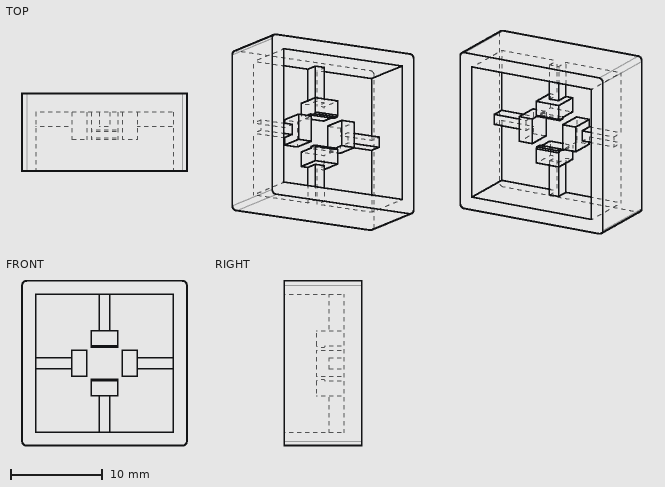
import cadquery as cq

side = 18.0
depth = 8.5
wall = 1.5
floor_thickness = 2.0
corner_radius = 0.5

post_width = 2.85
post_thickness = 1.62
post_height = 3.0
post_inner_offset = 1.93
rib_width = 1.15
rib_height = 1.6

ridge_height = 0.16
ridge_length = 1.0
ridge_slope_run = 0.16

cavity_side = side - 2 * wall
floor_y = depth - floor_thickness
post_tip_y = floor_y - post_height
post_outer_offset = post_inner_offset + post_thickness


def make_shell():
    body = cq.Workplane("XY").box(side, depth, side, centered=(True, False, True))
    body = body.edges("|Y").fillet(corner_radius)
    cavity = cq.Workplane("XY").box(cavity_side, floor_y, cavity_side, centered=(True, False, True))
    return body.cut(cavity)


def make_upper_post():
    """Post on the +Z side of the centre."""
    return (
        cq.Workplane("XY")
        .box(post_width, post_height, post_thickness, centered=(True, False, False))
        .translate((0, post_tip_y, post_inner_offset))
    )


def make_upper_rib():
    """Rib from the upper post to the cavity wall."""
    rib_length = cavity_side / 2 - post_outer_offset
    return (
        cq.Workplane("XY")
        .box(rib_width, rib_height, rib_length, centered=(True, False, False))
        .translate((0, floor_y - rib_height, post_outer_offset))
    )


def make_upper_ridge():
    """Trapezoidal ridge across the inner face of the upper post, starting at its tip."""
    crest_z = post_inner_offset - ridge_height
    end_y = post_tip_y + ridge_length
    return (
        cq.Workplane("YZ")
        .moveTo(post_tip_y, post_inner_offset)
        .lineTo(post_tip_y + ridge_slope_run, crest_z)
        .lineTo(end_y - ridge_slope_run, crest_z)
        .lineTo(end_y, post_inner_offset)
        .close()
        .extrude(post_width / 2, both=True)
    )


result = make_shell()
braced_post = make_upper_post().union(make_upper_rib())
for angle in (0, 90, 180, 270):
    result = result.union(braced_post.rotate((0, 0, 0), (0, 1, 0), angle))
for angle in (0, 180):
    result = result.union(make_upper_ridge().rotate((0, 0, 0), (0, 1, 0), angle))